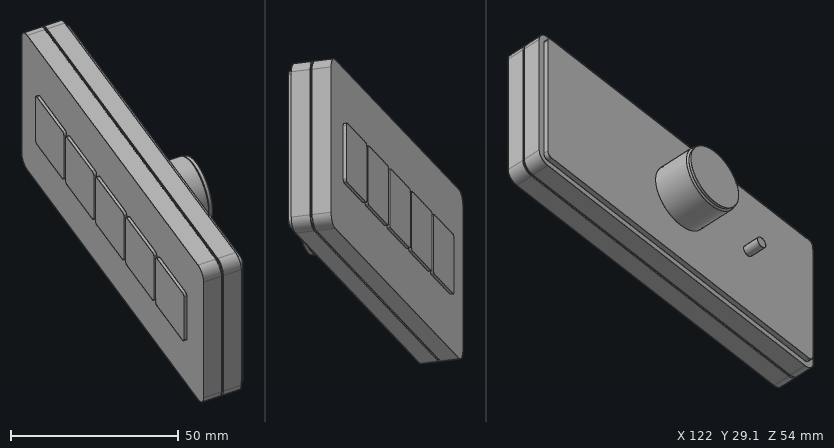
import cadquery as cq

body_width = 122.0
body_height = 54.0
slab_thickness = 6.0
body_corner_radius = 3.8
seam_width = 0.6
seam_depth = 0.6

plate_inset = 2.1
plate_thickness = 1.6
plate_corner_radius = body_corner_radius - plate_inset

button_count = 5
button_size = 19.0
button_pitch = 20.1
button_corner_radius = 1.0
button_height = 1.0

knob_diameter = 22.0
knob_length = 13.9
neck_diameter = 20.7
shoulder_length = 0.5
rim_diameter = 21.2
rim_length = 1.0

pin_diameter = 3.7
pin_length = 5.6
pin_x = -30.0

seam_y = slab_thickness
rear_slab_y = seam_y + seam_width
plate_y = rear_slab_y + slab_thickness
rear_face_y = plate_y + plate_thickness


def rounded_slab(width, height, radius, y_start, thickness, x_center=0):
    """Upright plate with rounded corners, growing toward +Y."""
    plate = cq.Workplane("XY").box(width, thickness, height).edges("|Y").fillet(radius)
    return plate.translate((x_center, y_start + thickness / 2, 0))


def make_housing():
    front_slab = rounded_slab(body_width, body_height, body_corner_radius, 0, slab_thickness)
    rear_slab = front_slab.translate((0, rear_slab_y, 0))
    seam = rounded_slab(
        body_width - 2 * seam_depth,
        body_height - 2 * seam_depth,
        body_corner_radius - seam_depth,
        seam_y,
        seam_width,
    )
    plate = rounded_slab(
        body_width - 2 * plate_inset,
        body_height - 2 * plate_inset,
        plate_corner_radius,
        plate_y,
        plate_thickness,
    )
    return front_slab.union(seam).union(rear_slab).union(plate)


def make_knob():
    end_y = rear_face_y + knob_length
    neck_y = end_y - rim_length
    profile = [
        (0, rear_face_y),
        (knob_diameter / 2, rear_face_y),
        (knob_diameter / 2, neck_y - shoulder_length),
        (neck_diameter / 2, neck_y),
        (rim_diameter / 2, end_y),
        (0, end_y),
    ]
    return cq.Workplane("XY").polyline(profile).close().revolve(360, (0, 0, 0), (0, 1, 0))


def make_pin():
    axis_start = cq.Vector(pin_x, rear_face_y, 0)
    axis_direction = cq.Vector(0, 1, 0)
    return cq.Workplane(cq.Solid.makeCylinder(pin_diameter / 2, pin_length, axis_start, axis_direction))


def make_button(x_center):
    return rounded_slab(
        button_size, button_size, button_corner_radius, -button_height, button_height, x_center
    )


result = make_housing().union(make_knob()).union(make_pin())
for index in range(button_count):
    result = result.union(make_button((index - (button_count - 1) / 2) * button_pitch))